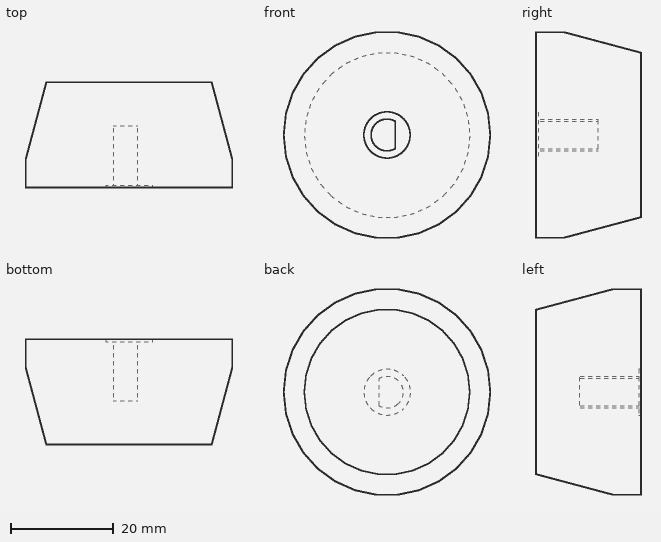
import cadquery as cq
import math

SIDES = 30
BASE_ACROSS_FLATS = 40.0
END_ACROSS_FLATS = 32.0
RIM_LENGTH = 5.5
TAPER_LENGTH = 15.0

RECESS_DIAMETER = 9.0
RECESS_DEPTH = 0.5
SHAFT_DIAMETER = 6.2
SHAFT_FLAT_OFFSET = 1.6
SHAFT_HOLE_DEPTH = 12.0


def plane_at(y):
    """Sketch plane whose normal is +Y and whose local x axis is +X."""
    return cq.Plane(origin=(0, y, 0), xDir=(1, 0, 0), normal=(0, 1, 0))


def corner_diameter(across_flats):
    return across_flats / math.cos(math.pi / SIDES)


def make_body():
    """Straight rim followed by a tapered grip, both with flat facets."""
    base_diameter = corner_diameter(BASE_ACROSS_FLATS)
    end_diameter = corner_diameter(END_ACROSS_FLATS)
    rim = cq.Workplane(plane_at(0)).polygon(SIDES, base_diameter).extrude(RIM_LENGTH)
    grip = (
        cq.Workplane(plane_at(RIM_LENGTH))
        .polygon(SIDES, base_diameter)
        .workplane(offset=TAPER_LENGTH)
        .polygon(SIDES, end_diameter)
        .loft(ruled=True)
    )
    return rim.union(grip)


def make_recess():
    return cq.Workplane(plane_at(0)).circle(RECESS_DIAMETER / 2).extrude(RECESS_DEPTH)


def make_shaft_hole():
    """Blind D-shaped hole with its flat facing +X."""
    radius = SHAFT_DIAMETER / 2
    half_flat = math.sqrt(radius**2 - SHAFT_FLAT_OFFSET**2)
    return (
        cq.Workplane(plane_at(0))
        .moveTo(SHAFT_FLAT_OFFSET, half_flat)
        .threePointArc((-radius, 0), (SHAFT_FLAT_OFFSET, -half_flat))
        .close()
        .extrude(SHAFT_HOLE_DEPTH)
    )


result = make_body().cut(make_recess()).cut(make_shaft_hole())